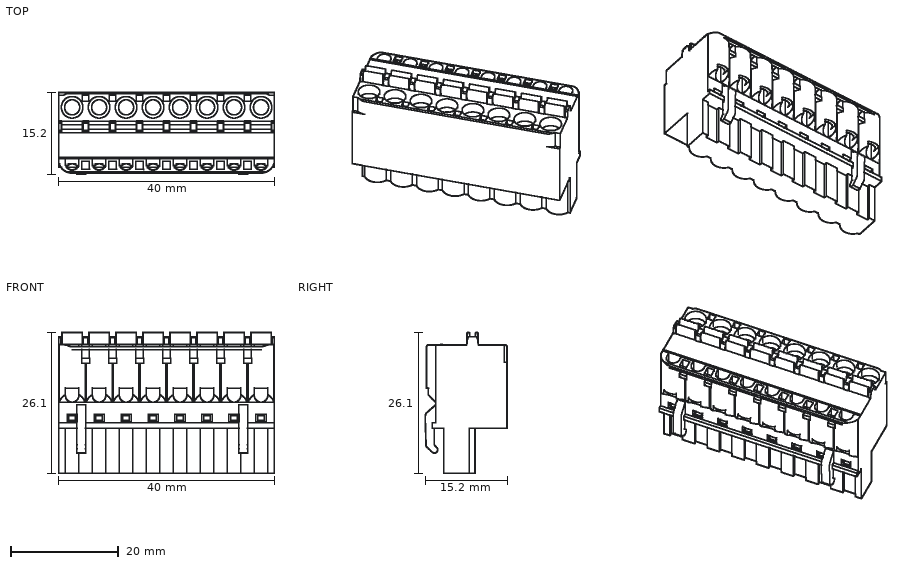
import cadquery as cq
poles = 8
length = 40.0
pitch = length / poles
top_z = 26.1
deck_z = 23.8
housing_bottom_z = 8.35
front_y = 1.95
back_y = 15.2
overlap = 0.2

barrel_radius = 2.5
barrel_front_y = 0.25
barrel_center_y = barrel_front_y + barrel_radius
barrel_bottom_z = 13.2
flange_height = 0.85
bevel_depth = 0.25
bevel_height = 0.3

slot_width = 2.5
slot_front_y = 0.85
slot_back_y = 2.9
window_top_z = 15.8

socket_width = 1.35
socket_front_y = 0.9
socket_back_y = 2.45
socket_floor_z = 21.3
ledge_width = 1.5
ledge_height = 0.9

funnel_y = 12.45
funnel_top_diameter = 4.0
funnel_floor_diameter = 2.8
funnel_bore_depth = 2.0
funnel_cone_depth = 0.6
square_size = 1.2
square_y = 14.1
square_depth = 1.6

clip_y = 8.8
clip_length = 3.8
clip_width = 2.1
clip_groove_floor_width = 0.8
clip_groove_top_width = 1.1
clip_groove_depth = 1.6
clip_rounding = 0.2
bridge_length = 0.95
bridge_base_width = 2.25
bridge_top_width = 1.75
bridge_height = 1.55
bridge_chamfer = 0.25

ridge_width = 0.25
ridge_height = 0.1

back_chamfer = 0.25
recess_depth = 0.5
recess_height = 3.25

plug_front_y = 3.45
plug_back_y = 8.15
groove_width = 2.5
groove_depth = 0.6
key_radius = 2.5
key_back_y = 9.3

rail_front_y = 1.3
rail_height = 1.0
latch_z = 10.3
latch_width = 1.9
latch_height = 1.35
latch_depth = 0.8
tooth_width = 1.2
tooth_height = 1.1
tooth_lip_height = 0.25
tooth_lip_depth = 0.3
hook_width = 1.65
hook_first_x = 4.2
hook_spacing = 6 * pitch
hook_top_z = 12.7
hook_inner_y = 1.7
hook_throat_z = 5.3
hook_shoulder_start, hook_shoulder_middle, hook_shoulder_end = (0.25, 11.2), (0.1, 10.9), (0, 10.45)
hook_heel_start, hook_heel_middle, hook_heel_end = (0.15, 5.15), (0.25, 4.95), (0.4, 4.8)
hook_tip_start, hook_tip_middle, hook_tip_end = (1.4, 3.85), (1.9, 3.8), (2.35, 4.55)

pole_x = [pitch * (i + 0.5) for i in range(poles)]
joint_x = [pitch * i for i in range(1, poles)]


def block(x0, x1, y0, y1, z0, z1):
    """Box between two opposite corners."""
    return cq.Workplane("XY").box(x1 - x0, y1 - y0, z1 - z0, centered=False).translate((x0, y0, z0))


def centered_block(x, width, y0, y1, z0, z1):
    """Box centred on x."""
    return block(x - width / 2, x + width / 2, y0, y1, z0, z1)


def cylinder(x, y, radius, z0, z1):
    """Upright cylinder."""
    return cq.Workplane("XY", origin=(x, y, z0)).circle(radius).extrude(z1 - z0)


def along_x(points, x, width):
    """Prism with a (y, z) outline, centred on x."""
    return cq.Workplane("YZ").polyline(points).close().extrude(width).translate((x - width / 2, 0, 0))


def housing():
    body = block(0, length, front_y, back_y, housing_bottom_z, deck_z)
    return body.edges(">Y and >Z").chamfer(back_chamfer)


def corner_recess():
    """Curved relief in the upper back corner at X = 0."""
    floor_z = deck_z - recess_height
    corner = block(0, pole_x[0], back_y - recess_depth, back_y, floor_z, deck_z)
    return corner.cut(cylinder(pole_x[0], back_y - barrel_radius, barrel_radius, floor_z, deck_z))


def barrels():
    """Front barrels, the straight flange over them and their sloping undersides."""
    shape = block(pole_x[0], pole_x[-1], barrel_front_y, barrel_center_y, deck_z - flange_height, deck_z)
    for x in pole_x:
        shape = shape.union(cylinder(x, barrel_center_y, barrel_radius, barrel_bottom_z, deck_z))
    shape = shape.intersect(block(0, length, 0, barrel_center_y, barrel_bottom_z, deck_z))
    shape = shape.cut(flange_bevel())
    underside = [
        (front_y, barrel_bottom_z),
        (0, barrel_bottom_z),
        (0, barrel_bottom_z + front_y),
    ]
    return shape.cut(along_x(underside, length / 2, length))


def flange_bevel():
    """Wedge that bevels the top front edge of the flange and the end barrels."""
    outline = [
        (barrel_front_y, deck_z),
        (barrel_front_y + bevel_depth, deck_z),
        (barrel_front_y, deck_z - bevel_height),
    ]
    return along_x(outline, length / 2, length)


def actuation_slot(x):
    """Round-fronted shaft that ends in a round-bottomed window through the barrel."""
    radius = slot_width / 2
    window_center_z = barrel_bottom_z + radius
    shaft_center_y = slot_front_y + radius
    shaft = centered_block(x, slot_width, shaft_center_y, slot_back_y, window_center_z, deck_z)
    nose = cylinder(x, shaft_center_y, radius, window_center_z, deck_z)
    nose = nose.intersect(centered_block(x, slot_width, 0, shaft_center_y, window_center_z, deck_z))
    window = centered_block(x, slot_width, 0, slot_back_y, window_center_z, window_top_z)
    trough = (
        cq.Workplane("XZ", origin=(x, slot_back_y, window_center_z)).circle(radius).extrude(slot_back_y)
    )
    return shaft.union(nose).union(window).union(trough)


def ledge(x):
    """Small floor that closes a test socket in the valley between two barrels."""
    return centered_block(
        x, ledge_width, socket_front_y, socket_back_y, socket_floor_z - ledge_height, socket_floor_z
    )


def test_socket(x):
    return centered_block(x, socket_width, socket_front_y, socket_back_y, socket_floor_z, deck_z)


def wire_funnel(x):
    """Straight bore that narrows to a flat floor through a cone."""
    radius = funnel_top_diameter / 2
    floor_radius = funnel_floor_diameter / 2
    floor_depth = funnel_bore_depth + funnel_cone_depth
    return (
        cq.Workplane("XZ", origin=(x, funnel_y, deck_z))
        .lineTo(radius, 0)
        .lineTo(radius, -funnel_bore_depth)
        .lineTo(floor_radius, -floor_depth)
        .lineTo(0, -floor_depth)
        .close()
        .revolve(360, (0, 0), (0, 1))
    )


def square_socket(x):
    half = square_size / 2
    return centered_block(x, square_size, square_y - half, square_y + half, deck_z - square_depth, deck_z)


def marker_clip(x):
    """Two upright prongs with a widening groove between them."""
    half = clip_width / 2
    clip = centered_block(x, clip_length, clip_y - half, clip_y + half, deck_z - overlap, top_z)
    half_floor = clip_groove_floor_width / 2
    half_mouth = clip_groove_top_width / 2
    groove = [
        (clip_y - half_floor, top_z - clip_groove_depth),
        (clip_y + half_floor, top_z - clip_groove_depth),
        (clip_y + half_mouth, top_z),
        (clip_y - half_mouth, top_z),
    ]
    return clip.cut(along_x(groove, x, clip_length)).edges("|X and >Z").fillet(clip_rounding)


def bridge(x):
    """Tapered web between neighbouring clips."""
    half_base = bridge_base_width / 2
    half_top = bridge_top_width / 2
    bridge_z = deck_z + bridge_height
    right_side = [
        (half_base, deck_z - overlap),
        (half_base, deck_z),
        (half_top, bridge_z - bridge_chamfer),
        (half_top - bridge_chamfer, bridge_z),
    ]
    left_side = [(-y, z) for y, z in reversed(right_side)]
    outline = [(clip_y + y, z) for y, z in right_side + left_side]
    return along_x(outline, x, bridge_length)


def ridge():
    return block(
        0, length, slot_back_y, slot_back_y + ridge_width, deck_z - overlap, deck_z + ridge_height
    )


def plug():
    """Lower block with front grooves and a rounded key at the back of each pole."""
    height = housing_bottom_z + overlap
    shape = block(0, length, plug_front_y, plug_back_y, 0, height)
    key_center_y = key_back_y - key_radius
    back_half = block(0, length, key_center_y, key_back_y, 0, height)
    for x in pole_x:
        shape = shape.union(cylinder(x, key_center_y, key_radius, 0, height).intersect(back_half))
        groove = centered_block(
            x, groove_width, plug_front_y, plug_front_y + groove_depth, 0, housing_bottom_z
        )
        shape = shape.cut(groove)
    return shape


def rail():
    return block(
        0, length, rail_front_y, front_y + overlap, housing_bottom_z, housing_bottom_z + rail_height
    )


def latch_window(x):
    half = latch_height / 2
    return centered_block(x, latch_width, front_y, front_y + latch_depth, latch_z - half, latch_z + half)


def latch_tooth(x):
    """Wedge with a low upright lip and a sloping face inside a latch window."""
    floor_y = front_y + latch_depth
    bottom_z = latch_z - latch_height / 2
    outline = [
        (floor_y + overlap, bottom_z),
        (front_y + tooth_lip_depth, bottom_z),
        (front_y + tooth_lip_depth, bottom_z + tooth_lip_height),
        (floor_y, bottom_z + tooth_height),
        (floor_y + overlap, bottom_z + tooth_height),
    ]
    return along_x(outline, x, tooth_width)


def hook(x):
    """Latch arm that hangs from the front face and ends in a rounded inward tip."""
    root_y = front_y + overlap
    outline = (
        cq.Workplane("YZ")
        .moveTo(root_y, hook_top_z)
        .lineTo(front_y, hook_top_z)
        .lineTo(*hook_shoulder_start)
        .threePointArc(hook_shoulder_middle, hook_shoulder_end)
        .lineTo(*hook_heel_start)
        .threePointArc(hook_heel_middle, hook_heel_end)
        .lineTo(*hook_tip_start)
        .threePointArc(hook_tip_middle, hook_tip_end)
        .lineTo(hook_inner_y, hook_throat_z)
        .lineTo(hook_inner_y, housing_bottom_z)
        .lineTo(root_y, housing_bottom_z)
        .close()
    )
    return outline.extrude(hook_width).translate((x - hook_width / 2, 0, 0))


result = housing().union(barrels()).union(plug()).union(rail()).union(ridge())

left_recess = corner_recess()
right_recess = left_recess.mirror("YZ", (length / 2, 0, 0))
result = result.cut(left_recess).cut(right_recess)

for x in joint_x:
    result = result.union(ledge(x)).cut(test_socket(x)).cut(square_socket(x)).union(bridge(x))

for x in pole_x:
    result = result.cut(actuation_slot(x)).cut(wire_funnel(x)).union(marker_clip(x))
    result = result.cut(latch_window(x)).union(latch_tooth(x))

end_bridges = bridge(0).union(bridge(length))
result = result.union(end_bridges.intersect(block(0, length, 0, back_y, 0, top_z)))

for x in (hook_first_x, hook_first_x + hook_spacing):
    result = result.union(hook(x))